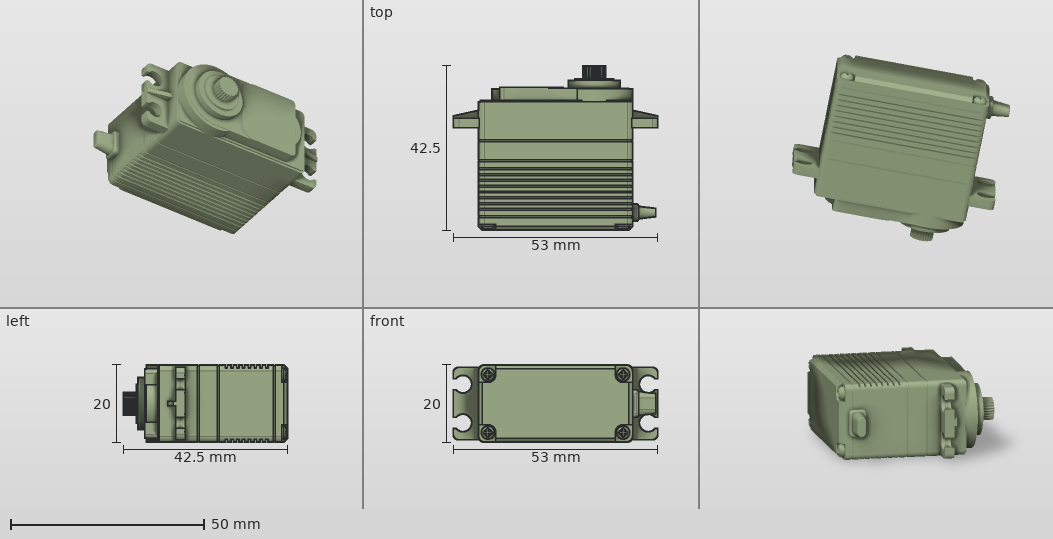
import cadquery as cq
import math


case_length = 39.95
case_width = 20.0
case_corner = 1.5
case_top = 33.2
half_length = case_length / 2
half_width = case_width / 2

lip_inset = 0.55
lip_top = 33.65

seam_width = 0.5
seam_depth = 0.15
seam_starts = (3.2, 17.7, 22.85)
slot_count = 8
slot_width = 0.5
slot_depth = 0.75
slot_first = 5.15
slot_last = 15.65

cover_chamfer = 1.0
pocket_size = 4.5
pocket_depth = 1.55
screw_inset = 2.5
screw_radius = 1.7
screw_rim = 0.55
screw_crown = -0.15
cross_length = 2.1
cross_width = 0.55
cross_depth = 0.9
cross_flare = 1.2
cross_flare_depth = 0.6

ear_span = 53.0
ear_width = 18.8
ear_bottom = 26.5
ear_top = 29.0
ear_corner = 1.5
ear_hole_diameter = 4.5
ear_hole_spacing = 10.0
ear_hole_x = 23.95
ear_slot_width = 2.8
rib_width = 1.2
rib_tip_top = 29.6
rib_root_top = 31.0

shaft_x = 10.0
disk_top = 36.55
deck_half_width = 8.95
deck_left = -14.45
deck_corner = 1.05
deck_top = 36.75
plate_right = 2.0
plate_end_radius = 3.8
plate_top = 37.0
collar_radius = 6.8
collar_top = 38.75
flange_radius = 5.05
flange_top = 39.2
nose_left = -16.5
spline_radius = 2.95
spline_root_radius = 2.7
spline_teeth = 25
spline_top = 42.5

cable_y = 4.55
grommet_length = 1.5
grommet_width = 7.15
grommet_height = 4.5
grommet_corner = 1.0
grommet_round = 0.55
relief_end = 25.95
relief_flat = 2.95
relief_base_height = 3.3
relief_tip_height = 2.2
relief_tip_round = 0.25


def plane_at(y):
    """Workplane across the case at height y, with local axes X and Z."""
    return cq.Workplane("XZ", origin=(0, y, 0))


def rounded_block(length, width, corner, bottom, top):
    """Block centred on the case axis with rounded edges along Y."""
    return plane_at(bottom).rect(length, width).extrude(bottom - top).edges("|Y").fillet(corner)


def disk(x, radius, bottom, top):
    return plane_at(bottom).center(x, 0).circle(radius).extrude(bottom - top)


def slab(left, right, width, bottom, top):
    return plane_at(bottom).center((left + right) / 2, 0).rect(right - left, width).extrude(bottom - top)


def make_case():
    case = rounded_block(case_length, case_width, case_corner, 0, case_top)
    case = case.faces("<Y").chamfer(cover_chamfer)
    lip = rounded_block(
        case_length - 2 * lip_inset,
        case_width - 2 * lip_inset,
        case_corner - lip_inset,
        case_top,
        lip_top,
    )
    return case.union(lip)


def cut_seams(body):
    for start in seam_starts:
        end = start + seam_width
        core = rounded_block(
            case_length - 2 * seam_depth,
            case_width - 2 * seam_depth,
            case_corner - seam_depth,
            start,
            end,
        )
        ring = slab(-half_length, half_length, case_width, start, end).cut(core)
        body = body.cut(ring)
    return body


def cut_cooling_slots(body):
    core_width = case_width - 2 * slot_depth
    pitch = (slot_last - slot_first) / (slot_count - 1)
    for index in range(slot_count):
        start = slot_first + index * pitch
        end = start + slot_width
        core = slab(-half_length, half_length, core_width, start, end)
        body = body.cut(slab(-half_length, half_length, case_width, start, end).cut(core))
    return body


def make_screw():
    """Domed screw head about the Y axis with a flared cross recess."""
    head = (
        cq.Workplane("XY")
        .moveTo(0, pocket_depth)
        .lineTo(screw_radius, pocket_depth)
        .lineTo(screw_radius, pocket_depth - screw_rim)
    )
    dome_height = pocket_depth - screw_rim - screw_crown
    dome_radius = (screw_radius**2 + dome_height**2) / (2 * dome_height)
    dome_half_angle = math.asin(screw_radius / dome_radius) / 2
    dome_middle = (
        dome_radius * math.sin(dome_half_angle),
        screw_crown + dome_radius * (1 - math.cos(dome_half_angle)),
    )
    head = head.threePointArc(dome_middle, (0, screw_crown)).close().revolve(360, (0, 0), (0, 1))
    crown = plane_at(screw_crown)
    bar_x = crown.rect(cross_length, cross_width).extrude(-cross_depth)
    bar_z = crown.rect(cross_width, cross_length).extrude(-cross_depth)
    flare = crown.polygon(4, 2 * cross_flare).extrude(-cross_flare_depth)
    return head.cut(bar_x).cut(bar_z).cut(flare)


def add_cover_screws(body):
    screw = make_screw()
    screw_x = half_length - screw_inset
    screw_z = half_width - screw_inset
    pocket_x = half_length - pocket_size / 2
    pocket_z = half_width - pocket_size / 2
    for side_x in (-1, 1):
        for side_z in (-1, 1):
            pocket = plane_at(0).center(side_x * pocket_x, side_z * pocket_z)
            pocket = pocket.rect(pocket_size, pocket_size).extrude(-pocket_depth)
            inner_edge = cq.selectors.NearestToPointSelector((0, pocket_depth / 2, 0))
            pocket = pocket.edges("|Y").edges(inner_edge).fillet(pocket_size - screw_inset)
            body = body.cut(pocket)
            body = body.union(screw.translate((side_x * screw_x, 0, side_z * screw_z)))
    return body


def make_ears():
    """Mounting plate through the case, with open screw holes and a rib at each end."""
    ears = rounded_block(ear_span, ear_width, ear_corner, ear_bottom, ear_top)
    thickness = ear_top - ear_bottom
    hole_z = ear_hole_spacing / 2
    half_span = ear_span / 2
    for side in (-1, 1):
        holes = plane_at(ear_bottom).pushPoints([(side * ear_hole_x, z) for z in (-hole_z, hole_z)])
        ears = ears.cut(holes.circle(ear_hole_diameter / 2).extrude(-thickness))
        slot_length = half_span - ear_hole_x
        slot_x = side * (half_span + ear_hole_x) / 2
        slots = plane_at(ear_bottom).pushPoints([(slot_x, z) for z in (-hole_z, hole_z)])
        ears = ears.cut(slots.rect(slot_length, ear_slot_width).extrude(-thickness))
        rib_outline = [
            (side * half_span, ear_bottom),
            (side * half_span, rib_tip_top),
            (side * half_length, rib_root_top),
            (side * half_length, ear_bottom),
        ]
        ears = ears.union(cq.Workplane("XY").polyline(rib_outline).close().extrude(rib_width / 2, both=True))
    return ears


def make_gear_cover():
    deck_width = 2 * deck_half_width
    deck = slab(deck_left, shaft_x, deck_width, case_top, deck_top).edges("|Y and <X").fillet(deck_corner)
    deck = deck.union(disk(shaft_x, deck_half_width, case_top, deck_top))
    plate = slab(deck_left, plate_right, deck_width, case_top, plate_top)
    plate = plate.edges("|Y and <X").fillet(deck_corner)
    plate = plate.edges("|Y and >X").fillet(plate_end_radius)
    cover = deck.union(plate)
    cover = cover.union(disk(shaft_x, half_width, case_top, disk_top))
    nose = disk(nose_left + collar_radius, collar_radius, case_top, disk_top)
    return cover.union(nose)


def make_output():
    collar = disk(shaft_x, collar_radius, case_top, collar_top)
    flange = disk(shaft_x, flange_radius, case_top, flange_top)
    tooth_points = []
    for index in range(2 * spline_teeth):
        radius = spline_root_radius if index % 2 else spline_radius
        angle = math.pi * index / spline_teeth
        tooth_points.append((radius * math.cos(angle), radius * math.sin(angle)))
    spline = plane_at(case_top).center(shaft_x, 0).polyline(tooth_points).close().extrude(case_top - spline_top)
    return collar.union(flange).union(spline)


def make_cable_exit():
    """Grommet on the +X wall with a strain relief that thins towards its tip."""
    wall = cq.Workplane("YZ", origin=(half_length, cable_y, 0))
    grommet = wall.rect(grommet_height, grommet_width).extrude(grommet_length)
    grommet = grommet.edges("|X").fillet(grommet_corner)
    grommet = grommet.faces(">X").edges().fillet(grommet_round)
    relief_length = relief_end - half_length - grommet_length
    relief = (
        wall.workplane(offset=grommet_length)
        .slot2D(relief_flat + relief_base_height, relief_base_height, 90)
        .workplane(offset=relief_length)
        .slot2D(relief_flat + relief_tip_height, relief_tip_height, 90)
        .loft(ruled=True)
    )
    relief = relief.faces(">X").edges().fillet(relief_tip_round)
    return grommet.union(relief)


body = cut_cooling_slots(cut_seams(make_case()))
body = add_cover_screws(body)
result = body.union(make_ears()).union(make_gear_cover()).union(make_output()).union(make_cable_exit())